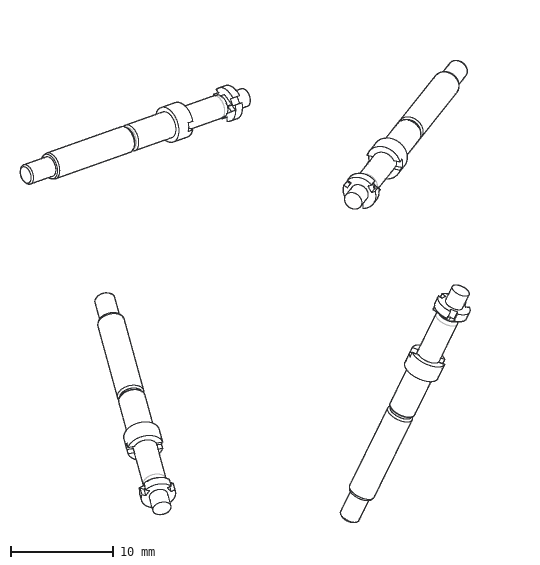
import cadquery as cq
import math

length = 27.9
barrel_front = 3.0
groove_front = 12.75
groove_floor_front = 12.97
groove_back = 13.3
collar_front = 18.05
collar_back = 19.86
shank_taper_start = 24.4
key_front = 24.85
ring_front = 25.35
ring_back = 26.23

tip_radius = 1.0
barrel_radius = 1.35
groove_radius = 1.17
collar_diameter = 3.6
collar_radius = collar_diameter / 2
shank_radius = 1.17
shank_end_radius = 1.12
ring_radius = 1.73
stub_radius = 0.92

tip_chamfer = 0.17
barrel_chamfer_length = 0.22
barrel_chamfer_depth = 0.08

collar_slot_width = 0.92
collar_slot_depth = 0.55

ring_slot_count = 3
ring_slot_width = 0.73
ring_slot_floor = 1.25
first_slot_angle = -90.0

key_apex = 1.1
wing_tip = 1.67
flat_angle = math.radians(32)


def turned_body():
    """Revolve the stepped half profile from the tip to the end of the shank about the Y axis."""
    chamfered_barrel = barrel_radius - barrel_chamfer_depth

    groove_depth = barrel_radius - groove_radius
    groove_floor_back = groove_back - groove_depth
    arc_offset = groove_depth * math.sqrt(0.5)

    front_outline = [
        (0, 0),
        (tip_radius - tip_chamfer, 0),
        (tip_radius, tip_chamfer),
        (tip_radius, barrel_front),
        (chamfered_barrel, barrel_front),
        (barrel_radius, barrel_front + barrel_chamfer_length),
        (barrel_radius, groove_front),
        (groove_radius, groove_floor_front),
        (groove_radius, groove_floor_back),
    ]
    back_outline = [
        (barrel_radius, groove_back),
        (barrel_radius, collar_front),
        (collar_radius, collar_front),
        (collar_radius, collar_back),
        (shank_radius, collar_back),
        (shank_radius, shank_taper_start),
        (shank_end_radius, key_front),
        (0, key_front),
    ]
    profile = (
        cq.Workplane("XY")
        .polyline(front_outline)
        .threePointArc((barrel_radius - arc_offset, groove_floor_back + arc_offset), back_outline[0])
        .polyline(back_outline)
        .close()
    )
    return profile.revolve(360, (0, 0, 0), (0, 1, 0))


def along_axis(start, end, sketch):
    """Extrude a cross-section, drawn in X and Z, from start to end along Y."""
    return sketch(cq.Workplane("XZ", origin=(0, start, 0))).extrude(start - end)


def slotted_ring():
    """Disc with evenly spaced, flat-bottomed slots cut in from its rim."""
    ring = along_axis(ring_front, ring_back, lambda plane: plane.circle(ring_radius))
    slot = along_axis(
        ring_front,
        ring_back,
        lambda plane: plane.center(ring_slot_floor + ring_radius / 2, 0).rect(ring_radius, ring_slot_width),
    )
    for index in range(ring_slot_count):
        angle = first_slot_angle + index * 360 / ring_slot_count
        ring = ring.cut(slot.rotate((0, 0, 0), (0, 1, 0), -angle))
    return ring


def key_outline(plane):
    """Peaked top inside the shank circle, with a pointed wing on each side."""
    slope = math.tan(flat_angle)

    def meets_shank(height):
        a = 1 + slope**2
        b = -2 * slope * height
        c = height**2 - shank_radius**2
        x = (-b + math.sqrt(b**2 - 4 * a * c)) / (2 * a)
        return x, height - slope * x

    flat_x, flat_z = meets_shank(key_apex)
    wing_x, wing_z = meets_shank(slope * wing_tip)
    middle_angle = (math.atan2(flat_z, flat_x) + math.atan2(wing_z, wing_x)) / 2
    arc_x = shank_radius * math.cos(middle_angle)
    arc_z = shank_radius * math.sin(middle_angle)
    return (
        plane.moveTo(0, key_apex)
        .lineTo(flat_x, flat_z)
        .threePointArc((arc_x, arc_z), (wing_x, wing_z))
        .lineTo(wing_tip, 0)
        .lineTo(0, -key_apex)
        .lineTo(-wing_tip, 0)
        .lineTo(-wing_x, wing_z)
        .threePointArc((-arc_x, arc_z), (-flat_x, flat_z))
        .close()
    )


def collar_slot():
    """Bar across the collar along X that leaves the shank standing."""
    slot_front = collar_back - collar_slot_depth
    bar = along_axis(slot_front, collar_back, lambda plane: plane.rect(2 * collar_radius, collar_slot_width))
    shank = along_axis(slot_front, collar_back, lambda plane: plane.circle(shank_radius))
    return bar.cut(shank)


key = along_axis(key_front, ring_front, key_outline)
stub = along_axis(ring_front, length, lambda plane: plane.circle(stub_radius))
result = turned_body().cut(collar_slot()).union(key).union(slotted_ring()).union(stub)